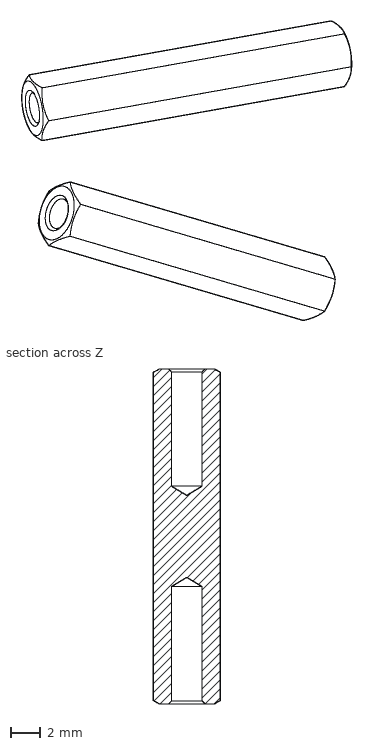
import cadquery as cq
import math

length = 23.0
across_flats = 4.0
across_corners = across_flats / math.cos(math.radians(30))

end_face_diameter = 3.8
corner_chamfer_angle = 30.0

hole_diameter = 2.1
hole_depth = 8.05
drill_point_angle = 118.0
countersink_diameter = 2.5

half_length = length / 2


def revolve_about_y(points):
    """Solid of revolution from (radius, y) points, turned about the Y axis."""
    return cq.Workplane("XY").polyline(points).close().revolve(360, (0, 0, 0), (0, 1, 0))


def hexagonal_bar():
    """Bar with flats facing up and down and corners on X."""
    return cq.Workplane("XZ").polygon(6, across_corners).extrude(half_length, both=True)


def chamfered_envelope():
    """Round bar with conical ends; it trims only the hexagon corners at the ends."""
    corner_radius = across_corners / 2
    face_radius = end_face_diameter / 2
    chamfer_length = (corner_radius - face_radius) * math.tan(math.radians(corner_chamfer_angle))
    clearance = 0.23
    outer_radius = corner_radius + clearance
    cone_length = chamfer_length + clearance * math.tan(math.radians(corner_chamfer_angle))
    shoulder = half_length - cone_length
    return revolve_about_y([
        (0, -half_length),
        (face_radius, -half_length),
        (outer_radius, -shoulder),
        (outer_radius, shoulder),
        (face_radius, half_length),
        (0, half_length),
    ])


def end_hole():
    """Countersunk blind hole entering from the -Y end."""
    radius = hole_diameter / 2
    mouth_radius = countersink_diameter / 2
    countersink_depth = mouth_radius - radius
    point_length = radius / math.tan(math.radians(drill_point_angle / 2))
    return revolve_about_y([
        (0, -half_length),
        (mouth_radius, -half_length),
        (radius, -half_length + countersink_depth),
        (radius, -half_length + hole_depth),
        (0, -half_length + hole_depth + point_length),
    ])


front_hole = end_hole()
back_hole = front_hole.mirror("XZ")
result = hexagonal_bar().intersect(chamfered_envelope()).cut(front_hole).cut(back_hole)